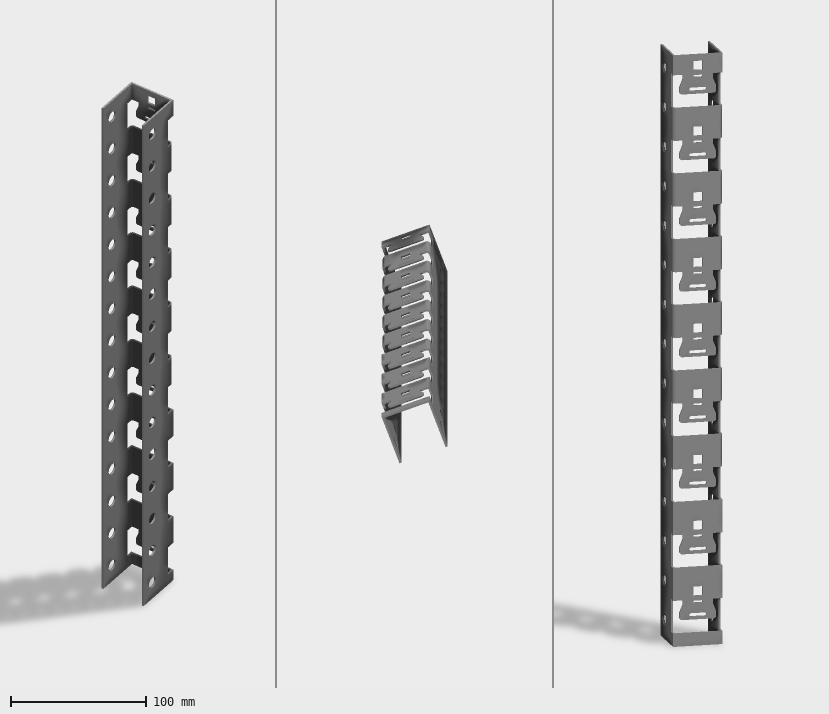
import cadquery as cq

WIDTH = 37.82
DEPTH = 38.41
LENGTH = 450.0
THICKNESS = 1.5

PITCH = 50.0
TAB_COUNT = 9
NOTCH_START = 15.0
NOTCH_END = 40.0
NOTCH_DEPTH = 7.0
SEGMENT_LENGTH = PITCH - (NOTCH_END - NOTCH_START)

NECK_HALF_WIDTH = 11.5
HEAD_HALF_WIDTH = 14.0
NECK_END = 18.5
HEAD_START = 24.5
TAB_END = 30.0
HEAD_CORNER_RADIUS = 2.0

SQUARE_SIZE = 7.0
SQUARE_DROP = 8.5
SMALL_SLOT_LENGTH = 7.0
SMALL_SLOT_HEIGHT = 1.6
SMALL_SLOT_DROP = 16.5
LONG_SLOT_LENGTH = 13.0
LONG_SLOT_HEIGHT = 2.5
LONG_SLOT_DROP = 26.4

HOLE_DIAMETER = 9.0
HOLE_PITCH = 30.0
HOLE_COUNT = 15
HOLE_END_DISTANCE = 15.0
HOLE_TO_WEB = 27.0

BEND_RADIUS = 2 * THICKNESS
FIRST_ROUNDED_SEGMENT = 2
LAST_ROUNDED_LEFT = 7
LAST_ROUNDED_RIGHT = 6


def channel():
    """Full-length U with sharp corners, open toward -Y."""
    on_floor = (True, False, False)
    outer = cq.Workplane("XY").box(WIDTH, DEPTH, LENGTH, centered=on_floor)
    inner = cq.Workplane("XY").box(WIDTH - 2 * THICKNESS, DEPTH - THICKNESS, LENGTH, centered=on_floor)
    return outer.cut(inner)


def round_bend(body, side, segment):
    """Replace one sharp corner of a web segment by a quarter ring; side is -1 or +1 along X."""
    bottom = LENGTH - (segment - 1) * PITCH - NOTCH_START
    center_x = side * (WIDTH / 2 - BEND_RADIUS)
    center_y = DEPTH - BEND_RADIUS
    plane = cq.Workplane("XY", origin=(center_x, center_y, bottom))
    corner = (
        plane.center(side * BEND_RADIUS / 2, BEND_RADIUS / 2)
        .rect(BEND_RADIUS, BEND_RADIUS)
        .extrude(SEGMENT_LENGTH)
    )
    ring = (
        cq.Workplane("XY", origin=(center_x, center_y, bottom))
        .circle(BEND_RADIUS)
        .circle(BEND_RADIUS - THICKNESS)
        .extrude(SEGMENT_LENGTH)
    )
    return body.cut(corner).union(ring.intersect(corner))


def notch(top):
    """Cutter across the web that also bites into both flanges."""
    return (
        cq.Workplane("XY", origin=(0, DEPTH - NOTCH_DEPTH, top - NOTCH_END))
        .box(WIDTH, NOTCH_DEPTH, NOTCH_END - NOTCH_START, centered=(True, False, False))
    )


def tab(top):
    """Narrow neck widening to a head with rounded lower corners."""
    right_side = [
        (NECK_HALF_WIDTH, top - NOTCH_START),
        (NECK_HALF_WIDTH, top - NECK_END),
        (HEAD_HALF_WIDTH, top - HEAD_START),
        (HEAD_HALF_WIDTH, top - TAB_END),
    ]
    left_side = [(-x, z) for x, z in reversed(right_side)]
    return (
        cq.Workplane("XZ", origin=(0, DEPTH, 0))
        .polyline(right_side + left_side)
        .close()
        .extrude(THICKNESS)
        .faces("<Z")
        .edges("|Y")
        .fillet(HEAD_CORNER_RADIUS)
    )


def web_plane(z):
    """Sketch plane on the outer face of the web, facing -Y."""
    return cq.Workplane("XZ", origin=(0, DEPTH, z))


def web_openings(top):
    """Cutters for the square hole, the small slot and the long slot of one tab."""
    square = web_plane(top - SQUARE_DROP).rect(SQUARE_SIZE, SQUARE_SIZE)
    small_slot = web_plane(top - SMALL_SLOT_DROP).slot2D(SMALL_SLOT_LENGTH, SMALL_SLOT_HEIGHT)
    long_slot = web_plane(top - LONG_SLOT_DROP).slot2D(LONG_SLOT_LENGTH, LONG_SLOT_HEIGHT)
    cutters = square.extrude(THICKNESS)
    cutters = cutters.union(small_slot.extrude(THICKNESS))
    return cutters.union(long_slot.extrude(THICKNESS))


def flange_holes():
    """Cutters for the row of round holes, running through both flanges."""
    centers = [
        (DEPTH - HOLE_TO_WEB, HOLE_END_DISTANCE + index * HOLE_PITCH)
        for index in range(HOLE_COUNT)
    ]
    return (
        cq.Workplane("YZ", origin=(-WIDTH / 2, 0, 0))
        .pushPoints(centers)
        .circle(HOLE_DIAMETER / 2)
        .extrude(WIDTH)
    )


result = channel()

for side, last_segment in ((-1, LAST_ROUNDED_LEFT), (1, LAST_ROUNDED_RIGHT)):
    for segment in range(FIRST_ROUNDED_SEGMENT, last_segment + 1):
        result = round_bend(result, side, segment)

for index in range(TAB_COUNT):
    top = LENGTH - index * PITCH
    result = result.cut(notch(top)).union(tab(top)).cut(web_openings(top))

result = result.cut(flange_holes())